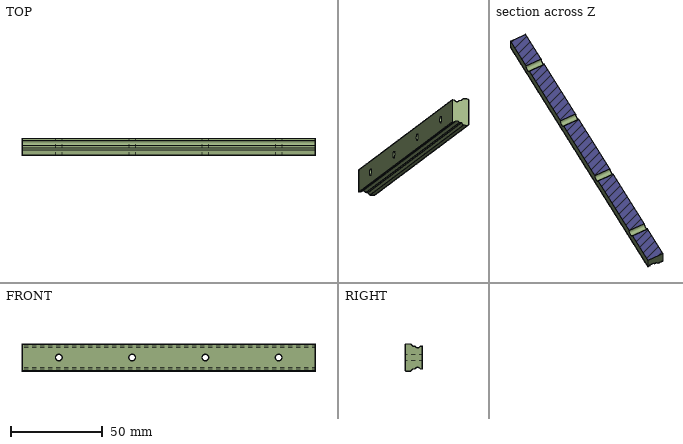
import cadquery as cq

LENGTH = 160.0
HEIGHT = 9.5
WIDTH = 15.0

HOLE_DIAMETER = 3.5
HOLE_PITCH = 40.0
HOLE_COUNT = 4

HEAD_HALF_WIDTH = 6.27
GROOVE_START = 1.2
GROOVE_END = 4.05
GROOVE_DEPTH = 0.87
LEDGE_END = 5.25
FOOT_START = 6.4
FOOT_CHAMFER = 0.5

FOOT_HALF_WIDTH = WIDTH / 2
TOP_Y = HEIGHT / 2
BOTTOM_Y = -HEIGHT / 2
GROOVE_MIDDLE = (GROOVE_START + GROOVE_END) / 2


def rail_half():
    """Upper half (Z > 0) of the rail, with its ball groove and wider foot."""
    return (
        cq.Workplane("YZ", origin=(-LENGTH / 2, 0, 0))
        .moveTo(TOP_Y, 0)
        .lineTo(TOP_Y, HEAD_HALF_WIDTH)
        .lineTo(TOP_Y - GROOVE_START, HEAD_HALF_WIDTH)
        .threePointArc(
            (TOP_Y - GROOVE_MIDDLE, HEAD_HALF_WIDTH - GROOVE_DEPTH),
            (TOP_Y - GROOVE_END, HEAD_HALF_WIDTH),
        )
        .lineTo(TOP_Y - LEDGE_END, HEAD_HALF_WIDTH)
        .lineTo(TOP_Y - FOOT_START, FOOT_HALF_WIDTH)
        .lineTo(BOTTOM_Y + FOOT_CHAMFER, FOOT_HALF_WIDTH)
        .lineTo(BOTTOM_Y, FOOT_HALF_WIDTH - FOOT_CHAMFER)
        .lineTo(BOTTOM_Y, 0)
        .close()
        .extrude(LENGTH)
    )


def mounting_holes():
    """Row of round cutters along X, centred on the rail."""
    return (
        cq.Workplane("XZ", origin=(0, TOP_Y, 0))
        .rarray(HOLE_PITCH, 1, HOLE_COUNT, 1)
        .circle(HOLE_DIAMETER / 2)
        .extrude(HEIGHT)
    )


upper_half = rail_half()
rail = upper_half.union(upper_half.mirror("XY")).clean()
result = rail.cut(mounting_holes())